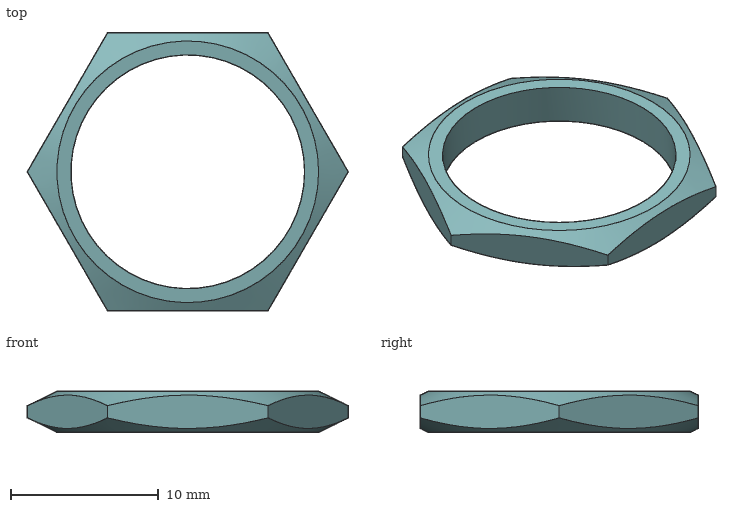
import cadquery as cq

across_corners = 21.7
thickness = 2.8
bore_diameter = 15.78
face_diameter = 17.7
corner_edge_height = 0.82

corner_radius = across_corners / 2
face_radius = face_diameter / 2
half_thickness = thickness / 2
half_edge = corner_edge_height / 2


def hexagonal_blank():
    """Hexagonal prism centred on the origin, with two corners on the X axis."""
    return (
        cq.Workplane("XY", origin=(0, 0, -half_thickness))
        .polygon(6, across_corners)
        .extrude(thickness)
    )


def chamfer_envelope():
    """Turned double cone that chamfers the corners of both end faces."""
    return (
        cq.Workplane("XZ")
        .moveTo(0, -half_thickness)
        .lineTo(face_radius, -half_thickness)
        .lineTo(corner_radius, -half_edge)
        .lineTo(corner_radius, half_edge)
        .lineTo(face_radius, half_thickness)
        .lineTo(0, half_thickness)
        .close()
        .revolve(360, (0, 0, 0), (0, 1, 0))
    )


def bore():
    """Plain round hole through the full thickness."""
    return (
        cq.Workplane("XY", origin=(0, 0, -half_thickness))
        .circle(bore_diameter / 2)
        .extrude(thickness)
    )


result = hexagonal_blank().intersect(chamfer_envelope()).cut(bore())